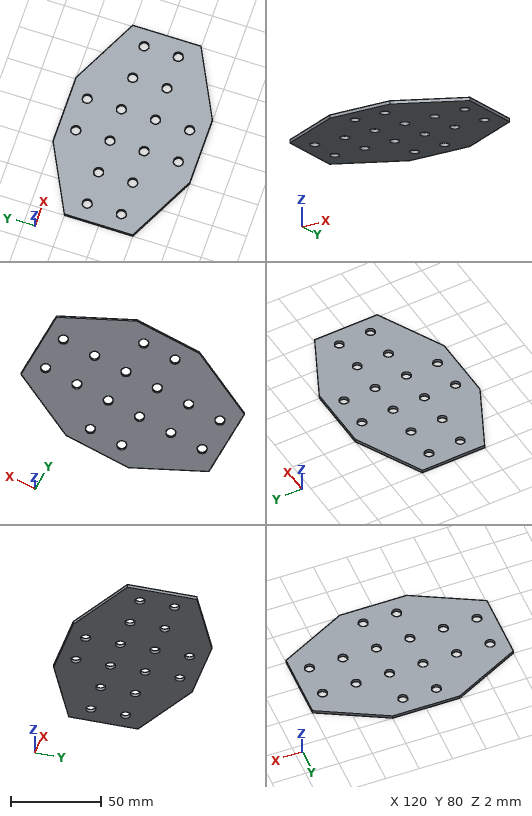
import cadquery as cq

pitch = 20.0
long_row_count = 6
long_column_count = 4
core_count = 2
thickness = 2.0
hole_diameter = 5.5

length = long_row_count * pitch
width = long_column_count * pitch
straight_edge = core_count * pitch


def make_plate():
    """Octagonal plate: a rectangle with its four corners cut off."""
    half_length = length / 2
    half_width = width / 2
    half_edge = straight_edge / 2
    outline = [
        (half_length, -half_edge),
        (half_length, half_edge),
        (half_edge, half_width),
        (-half_edge, half_width),
        (-half_length, half_edge),
        (-half_length, -half_edge),
        (-half_edge, -half_width),
        (half_edge, -half_width),
    ]
    return cq.Workplane("XY").polyline(outline).close().extrude(thickness)


def centred_positions(count):
    """Coordinates of evenly pitched holes, centred on zero."""
    return [(i - (count - 1) / 2) * pitch for i in range(count)]


def hole_centres():
    """Cross-shaped hole pattern: long rows along X and long columns along Y."""
    core = centred_positions(core_count)
    return [
        (x, y)
        for x in centred_positions(long_row_count)
        for y in centred_positions(long_column_count)
        if x in core or y in core
    ]


def cut_holes(plate):
    """Drill the round through holes."""
    return plate.faces(">Z").workplane(origin=(0, 0, thickness)).pushPoints(hole_centres()).hole(hole_diameter)


result = cut_holes(make_plate())